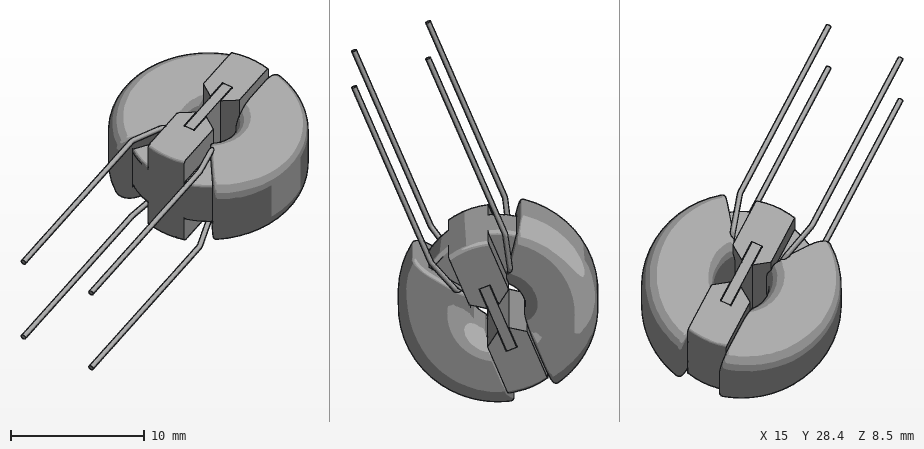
import cadquery as cq
import math

case_radius = 6.13
ring_height = 4.0
bar_width = 3.2
bar_height = 8.5
case_edge_round = 0.3

opening_side_y = 1.82
opening_slot_y = 1.0

plate_thickness = 0.8
plate_length = 5.35
slot_clearance = 0.05

winding_outer_diameter = 15.0
winding_inner_radius = 2.07
winding_height = 6.8
winding_corner_round = 1.73
winding_front_angle = 35.5
winding_end_round = 0.25

wire_radius = 0.2
wire_bend_radius = 0.85
lead_tip_y = -21.1
lead_points = [
    (1.82, -1.7, 2.25),
    (2.2, -3.04, 3.35),
    (3.0, -5.93, 4.0),
    (3.0, lead_tip_y, 4.0),
]

ring_hole_radius = math.hypot(bar_width / 2, opening_side_y)
slot_width = plate_thickness + 2 * slot_clearance
winding_outer_radius = winding_outer_diameter / 2


def centred_cylinder(radius, height):
    return cq.Workplane("XY").circle(radius).extrude(height / 2, both=True)


def rounded_disc(height):
    """Disc of the case radius with rounded rims."""
    return centred_cylinder(case_radius, height).edges("%CIRCLE").fillet(case_edge_round)


def make_case():
    """Full-height disc cut down to the ring on both sides of the bar, then opened and slotted."""
    body = rounded_disc(bar_height)
    beside_bar = centred_cylinder(2 * case_radius, bar_height).cut(
        cq.Workplane("XY").box(bar_width, 4 * case_radius, bar_height)
    )
    ring = rounded_disc(ring_height)
    ring = ring.cut(centred_cylinder(ring_hole_radius, ring_height))
    body = body.cut(beside_bar.cut(ring))
    half_bar = bar_width / 2
    half_slot = slot_width / 2
    opening = (
        cq.Workplane("XY")
        .polyline([
            (half_bar, opening_side_y),
            (half_slot, opening_slot_y),
            (-half_slot, opening_slot_y),
            (-half_bar, opening_side_y),
            (-half_bar, -opening_side_y),
            (-half_slot, -opening_slot_y),
            (half_slot, -opening_slot_y),
            (half_bar, -opening_side_y),
        ])
        .close()
        .extrude(bar_height / 2, both=True)
    )
    slot = cq.Workplane("XY").box(slot_width, plate_length, bar_height)
    return body.cut(opening).cut(slot)


def make_plate():
    return cq.Workplane("XY").box(plate_thickness, plate_length, bar_height)


def make_right_upper_lead():
    """Wire with rounded bends, from its start in the winding to its free tip."""
    points = [cq.Vector(*point) for point in lead_points]
    edges = []
    start = points[0]
    for before, corner, after in zip(points, points[1:], points[2:]):
        arriving = (corner - before).normalized()
        leaving = (after - corner).normalized()
        setback = wire_bend_radius * math.tan(arriving.getAngle(leaving) / 2)
        bend_start = corner - arriving * setback
        bend_end = corner + leaving * setback
        edges.append(cq.Edge.makeLine(start, bend_start))
        edges.append(cq.Edge.makeTangentArc(bend_start, arriving, bend_end))
        start = bend_end
    edges.append(cq.Edge.makeLine(start, points[-1]))
    path = cq.Wire.assembleEdges(edges)
    section = cq.Plane(origin=points[0], normal=points[1] - points[0])
    return cq.Workplane(section).circle(wire_radius).sweep(cq.Workplane(path))


def make_right_winding(case, leads):
    """Coil on the +X side of the bar, fitted around the case and the leads."""
    coil_width = winding_outer_radius - winding_inner_radius
    coil_middle = (winding_outer_radius + winding_inner_radius) / 2
    full_coil = (
        cq.Workplane("XZ")
        .sketch()
        .push([(coil_middle, 0)])
        .rect(coil_width, winding_height)
        .reset()
        .vertices()
        .fillet(winding_corner_round)
        .finalize()
        .revolve(360, (0, 0, 0), (0, 1, 0))
    )
    front_angle = math.radians(winding_front_angle)
    reach = 2 * winding_outer_radius
    sector = (
        cq.Workplane("XY")
        .polyline([
            (bar_width / 2, 0),
            (bar_width / 2, reach),
            (reach, reach),
            (reach, -reach),
            (reach * math.tan(front_angle), -reach),
            (0, 0),
        ])
        .close()
        .extrude(winding_height, both=True)
    )
    coil = full_coil.intersect(sector)
    front_normal = cq.Vector(-math.cos(front_angle), -math.sin(front_angle), 0)
    coil = coil.faces("<X").edges().fillet(winding_end_round)
    front_end = cq.selectors.ParallelDirSelector(front_normal)
    coil = coil.faces(front_end).edges().fillet(winding_end_round)
    ring_space = centred_cylinder(case_radius, ring_height).cut(
        centred_cylinder(ring_hole_radius, ring_height)
    )
    coil = coil.cut(ring_space).cut(case)
    for lead in leads:
        coil = coil.cut(lead)
    return coil


case = make_case()
plate = make_plate()
right_upper_lead = make_right_upper_lead()
right_leads = [right_upper_lead, right_upper_lead.mirror("XY")]
left_leads = [lead.mirror("YZ") for lead in right_leads]
right_winding = make_right_winding(case, right_leads)
left_winding = right_winding.mirror("YZ")

result = cq.Compound.makeCompound([
    case.val(),
    plate.val(),
    *[lead.val() for lead in right_leads + left_leads],
    right_winding.val(),
    left_winding.val(),
])